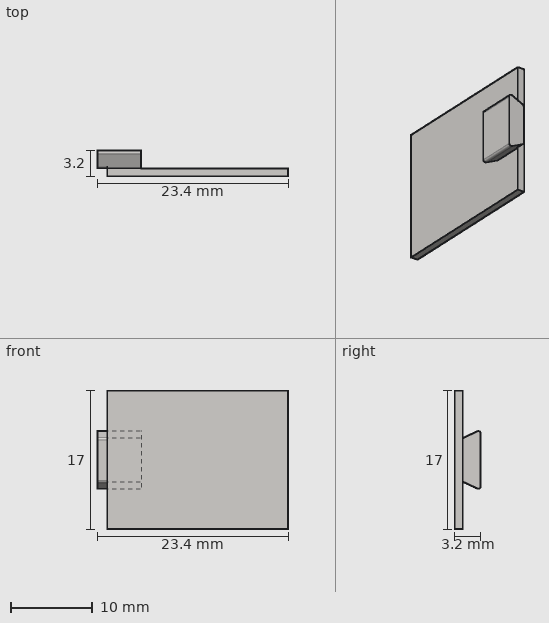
import cadquery as cq

total_length = 23.4
plate_height = 17.0
plate_thickness = 1.0
rail_overhang = 1.22

rail_length = 5.38
rail_depth = 2.2
rail_back_height = 7.45
rail_front_height = 5.38
edge_radius = 0.3


def make_plate():
    return cq.Workplane("XY").box(
        total_length - rail_overhang,
        plate_thickness,
        plate_height,
        centered=(False, False, True),
    ).translate((rail_overhang, 0, 0))


def make_rail_section(length, rounded_edges):
    """Dovetail widening away from the plate, starting at X = 0."""
    front_y = plate_thickness
    back_y = plate_thickness + rail_depth
    profile = [
        (front_y, -rail_front_height / 2),
        (back_y, -rail_back_height / 2),
        (back_y, rail_back_height / 2),
        (front_y, rail_front_height / 2),
    ]
    section = cq.Workplane("YZ").polyline(profile).close().extrude(length)
    return section.edges(rounded_edges).fillet(edge_radius)


def make_rail():
    """All long edges are rounded on the overhang, only the back ones behind the plate."""
    overhang = make_rail_section(rail_overhang, "|X")
    behind_plate = make_rail_section(rail_length - rail_overhang, "|X and (>Y)")
    return overhang.union(behind_plate.translate((rail_overhang, 0, 0)))


result = make_plate().union(make_rail()).clean()